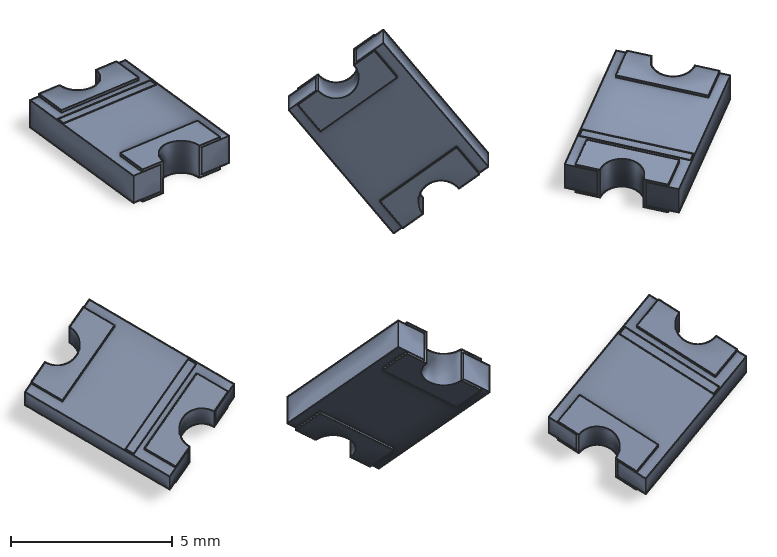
import cadquery as cq

LENGTH = 5.3
WIDTH = 3.7
HEIGHT = 1.2

PAD_THICKNESS = 0.095
PAD_LENGTH = 1.15
PAD_WIDTH = 3.0
NOTCH_RADIUS = 0.7
BARREL_WALL = 0.09

STRIPE_WIDTH = 0.3
STRIPE_LENGTH = 3.6
STRIPE_DEPTH = 0.025
STRIPE_X = -1.15

board_height = HEIGHT - 2 * PAD_THICKNESS
board_top = board_height / 2
barrel_radius = NOTCH_RADIUS + BARREL_WALL
END_SIDES = (-1, 1)


def end_cylinder(side, radius, height):
    """Upright cylinder centred on the end face at the given X side."""
    return cq.Workplane("XY").center(side * LENGTH / 2, 0).circle(radius).extrude(height / 2, both=True)


def make_stripe():
    stripe = cq.Workplane("XY").box(STRIPE_WIDTH, STRIPE_LENGTH, STRIPE_DEPTH)
    return stripe.translate((STRIPE_X, 0, board_top - STRIPE_DEPTH / 2))


def make_board(stripe):
    """Board with a round notch at each end and a recess for the stripe."""
    board = cq.Workplane("XY").box(LENGTH, WIDTH, board_height)
    for side in END_SIDES:
        board = board.cut(end_cylinder(side, barrel_radius, board_height))
    return board.cut(stripe)


def make_terminal(side):
    """Two notched pads and the half barrel that joins them."""
    envelope = (
        cq.Workplane("XY")
        .box(PAD_LENGTH, PAD_WIDTH, HEIGHT)
        .translate((side * (LENGTH - PAD_LENGTH) / 2, 0, 0))
    )
    board_space = cq.Workplane("XY").box(LENGTH, WIDTH, board_height)
    board_space = board_space.cut(end_cylinder(side, barrel_radius, board_height))
    return envelope.cut(board_space).cut(end_cylinder(side, NOTCH_RADIUS, HEIGHT))


stripe = make_stripe()
board = make_board(stripe)
terminals = [make_terminal(side).val() for side in END_SIDES]

result = cq.Compound.makeCompound([board.val(), stripe.val(), *terminals])